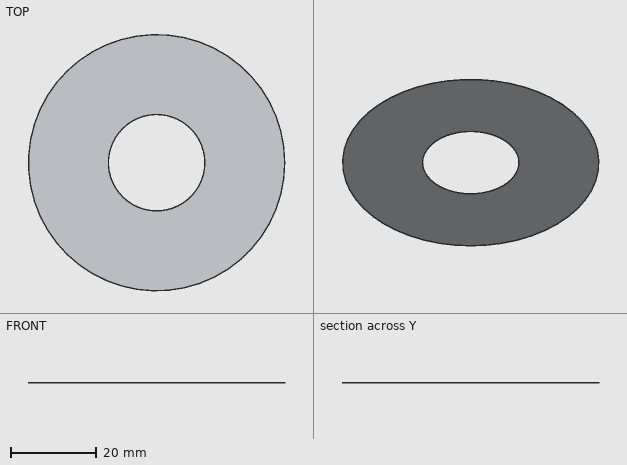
import cadquery as cq

outer_diameter = 60.0
hole_diameter = 22.5
thickness = 0.1

result = (
    cq.Workplane("XY")
    .circle(outer_diameter / 2)
    .circle(hole_diameter / 2)
    .extrude(thickness)
)